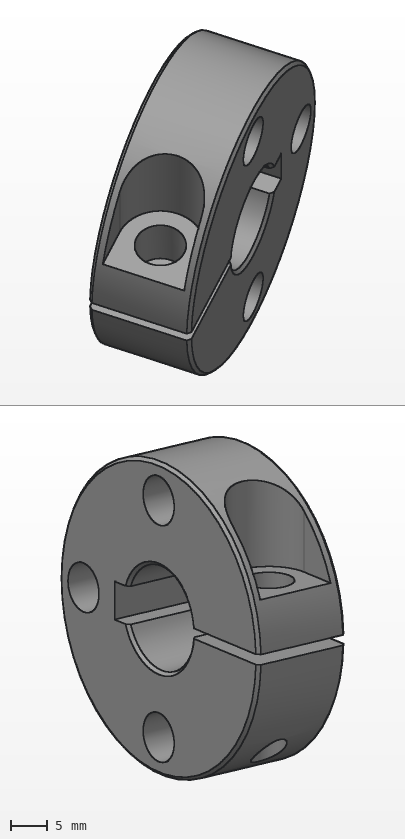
import cadquery as cq

outer_diameter = 45.0
width = 15.0
bore_diameter = 15.0
edge_chamfer = 0.5

slit_width = 1.5
keyway_width = 5.5
keyway_reach = 10.0

face_hole_diameter = 7.0
face_hole_offset = 17.0

screw_offset = 15.0
screw_clearance_diameter = 7.0
screw_thread_diameter = 4.9
pocket_width = 12.0
pocket_floor = 8.0

outer_radius = outer_diameter / 2


def collar_body():
    """Ring with chamfered outer and bore edges on both faces."""
    ring = (
        cq.Workplane("YZ", origin=(-width / 2, 0, 0))
        .circle(outer_radius)
        .circle(bore_diameter / 2)
        .extrude(width)
    )
    return ring.faces("<X or >X").edges().chamfer(edge_chamfer)


def slit():
    """Radial cut from the bore out through the -Y side."""
    return cq.Workplane("XY").box(width, outer_radius, slit_width).translate((0, -outer_radius / 2, 0))


def keyway():
    """Square-cornered groove on the +Y side of the bore."""
    return cq.Workplane("XY").box(width, keyway_reach, keyway_width).translate((0, keyway_reach / 2, 0))


def face_holes():
    """Three axial through holes, leaving out the slit side."""
    centres = [
        (0, face_hole_offset),
        (face_hole_offset, 0),
        (0, -face_hole_offset),
    ]
    return (
        cq.Workplane("YZ", origin=(-width / 2, 0, 0))
        .pushPoints(centres)
        .circle(face_hole_diameter / 2)
        .extrude(width)
    )


def screw_pocket():
    """Round-ended recess for the screw head, open above and towards -Y."""
    pocket_radius = pocket_width / 2
    return (
        cq.Workplane("XY", origin=(0, 0, pocket_floor))
        .moveTo(-pocket_radius, -outer_radius)
        .lineTo(-pocket_radius, -screw_offset)
        .threePointArc((0, pocket_radius - screw_offset), (pocket_radius, -screw_offset))
        .lineTo(pocket_radius, -outer_radius)
        .close()
        .extrude(outer_radius - pocket_floor)
    )


def screw_hole():
    """Clearance hole from the pocket to the slit, then the smaller thread hole below."""
    axis = cq.Workplane("XY", origin=(0, -screw_offset, 0))
    clearance = axis.circle(screw_clearance_diameter / 2).extrude(pocket_floor)
    thread = axis.circle(screw_thread_diameter / 2).extrude(-outer_radius)
    return clearance.union(thread)


result = (
    collar_body()
    .cut(slit())
    .cut(keyway())
    .cut(face_holes())
    .cut(screw_pocket())
    .cut(screw_hole())
)